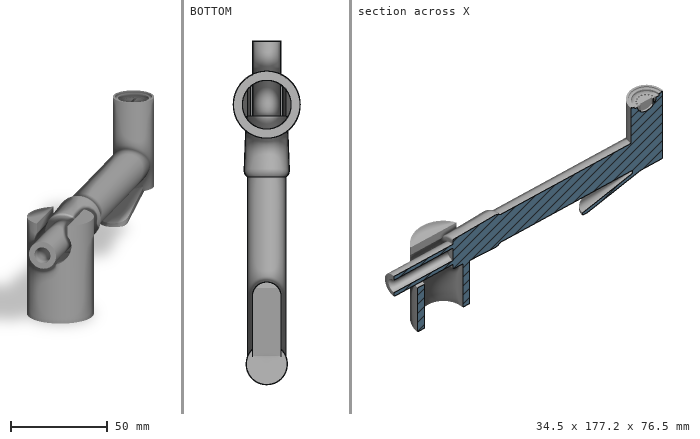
import cadquery as cq
import math


BASE_DIAMETER = 34.5
BASE_RADIUS = BASE_DIAMETER / 2
BASE_HEIGHT = 52.5
SLOT_WIDTH = 16.5
CAVITY_RADIUS = 12.5

TOTAL_LENGTH = 177.2
ARM_HEIGHT = 41.5
TUBE_RADIUS = 7.3
BORE_RADIUS = 4.3
TUBE_START = -32.8
PIPE_DIAMETER = 20.0
PIPE_RADIUS = PIPE_DIAMETER / 2

COLLAR_START = 5.8
COLLAR_SHOULDER = 33.7
COLLAR_START_RADIUS = 10.6
COLLAR_MAX_RADIUS = 11.7
COLLAR_START_ROUND = 1.0
COLLAR_END_ROUND = 4.8
COLLAR_END = COLLAR_SHOULDER + COLLAR_END_ROUND

SPOUT_RADIUS = 10.6
SPOUT_BOTTOM = 28.4
SPOUT_TOP = 76.5
SPOUT_Y = TUBE_START + TOTAL_LENGTH - SPOUT_RADIUS

CORE_RADIUS = 9.5
STEP_DEPTH = 0.7
FLOOR_RADIUS = 8.0
FLOOR_DEPTH = 2.0

BOWL_RADIUS = 6.0
KEY_WIDTH = 1.6
KEY_LENGTH = 8.0
HOLE_COUNT = 18
HOLE_RADIUS = 0.5
HOLE_CIRCLE_RADIUS = 5.3

LEVER_RADIUS = 7.5
LEVER_HEIGHT = 2.8
LEVER_ANGLE = 15
LEVER_TIP_Y = 91.5
LEVER_TIP_Z = 20.9
LEVER_ROOT_Y = 131.1
LEVER_BOTTOM = 19.0
NOTCH_TOP = 31.9


def rod(radius, start, end):
    """Cylinder on the arm axis between two Y positions."""
    plane = cq.Plane(origin=(0, start, ARM_HEIGHT), xDir=(1, 0, 0), normal=(0, 1, 0))
    return cq.Workplane(plane).circle(radius).extrude(end - start)


def make_base():
    post = cq.Workplane("XY").circle(BASE_RADIUS).extrude(BASE_HEIGHT)
    slot = (
        cq.Workplane("XY", origin=(0, 0, ARM_HEIGHT))
        .rect(SLOT_WIDTH, 2 * BASE_RADIUS)
        .extrude(BASE_HEIGHT - ARM_HEIGHT)
    )
    arm_hole = rod(PIPE_RADIUS, -BASE_RADIUS, COLLAR_START + COLLAR_START_ROUND)
    cavity = cq.Workplane("XY").circle(CAVITY_RADIUS).extrude(ARM_HEIGHT)
    return post.cut(slot).cut(arm_hole).cut(cavity)


def make_collar():
    """Revolved collar: radius along local X, position along local Y."""
    taper_start = COLLAR_START + COLLAR_START_ROUND
    arc_step = math.sqrt(0.5)
    start_arc_middle = (
        COLLAR_START_RADIUS - COLLAR_START_ROUND * (1 - arc_step),
        taper_start - COLLAR_START_ROUND * arc_step,
    )
    end_arc_middle = (
        COLLAR_MAX_RADIUS - COLLAR_END_ROUND * (1 - arc_step),
        COLLAR_SHOULDER + COLLAR_END_ROUND * arc_step,
    )
    return (
        cq.Workplane("XY", origin=(0, 0, ARM_HEIGHT))
        .moveTo(0, COLLAR_START)
        .lineTo(COLLAR_START_RADIUS - COLLAR_START_ROUND, COLLAR_START)
        .threePointArc(start_arc_middle, (COLLAR_START_RADIUS, taper_start))
        .lineTo(COLLAR_MAX_RADIUS, COLLAR_SHOULDER)
        .threePointArc(end_arc_middle, (COLLAR_MAX_RADIUS - COLLAR_END_ROUND, COLLAR_END))
        .lineTo(0, COLLAR_END)
        .close()
        .revolve(360, (0, 0), (0, 1))
    )


def make_arm():
    tube = rod(TUBE_RADIUS, TUBE_START, COLLAR_START)
    bore = rod(BORE_RADIUS, TUBE_START, COLLAR_START)
    pipe = rod(PIPE_RADIUS, COLLAR_SHOULDER, SPOUT_Y)
    return make_collar().union(tube.cut(bore)).union(pipe)


def make_floor_openings(floor_height):
    """Central key slot and ring of holes, both limited by the bowl."""
    plane = cq.Workplane("XY", origin=(0, SPOUT_Y, floor_height))
    key = plane.rect(KEY_WIDTH, KEY_LENGTH).extrude(-BOWL_RADIUS)
    first_angle = 360 / HOLE_COUNT / 2
    holes = (
        plane.polarArray(HOLE_CIRCLE_RADIUS, first_angle, 360, HOLE_COUNT)
        .circle(HOLE_RADIUS)
        .extrude(-BOWL_RADIUS)
    )
    bowl = plane.sphere(BOWL_RADIUS)
    return key.union(holes).intersect(bowl)


def make_spout():
    body = (
        cq.Workplane("XY", origin=(0, SPOUT_Y, SPOUT_BOTTOM))
        .circle(SPOUT_RADIUS)
        .extrude(SPOUT_TOP - SPOUT_BOTTOM)
    )
    top = cq.Workplane("XY", origin=(0, SPOUT_Y, SPOUT_TOP))
    step = top.circle(CORE_RADIUS).extrude(-STEP_DEPTH)
    well = top.circle(FLOOR_RADIUS).extrude(-FLOOR_DEPTH)
    openings = make_floor_openings(SPOUT_TOP - FLOOR_DEPTH)
    return body.cut(step).cut(well).cut(openings)


def make_lever_notch():
    """Notch through the spout wall only, leaving the core behind it."""
    height = NOTCH_TOP - SPOUT_BOTTOM
    plane = cq.Workplane("XY", origin=(0, SPOUT_Y, SPOUT_BOTTOM))
    block = plane.center(0, -SPOUT_RADIUS / 2).rect(2 * LEVER_RADIUS, SPOUT_RADIUS).extrude(height)
    core = plane.circle(CORE_RADIUS).extrude(height)
    return block.cut(core)


def make_lever():
    """Upright round-tipped outline, limited to a sloping blade with a level underside at the tip."""
    slope = math.tan(math.radians(LEVER_ANGLE))
    tip_centre_y = LEVER_TIP_Y + LEVER_RADIUS
    root_top = LEVER_TIP_Z + (LEVER_ROOT_Y - LEVER_TIP_Y) * slope
    underside_bend_y = LEVER_TIP_Y + (LEVER_BOTTOM + LEVER_HEIGHT - LEVER_TIP_Z) / slope
    blade = (
        cq.Workplane("YZ")
        .moveTo(LEVER_TIP_Y, LEVER_TIP_Z)
        .lineTo(LEVER_TIP_Y, LEVER_BOTTOM)
        .lineTo(underside_bend_y, LEVER_BOTTOM)
        .lineTo(LEVER_ROOT_Y, root_top - LEVER_HEIGHT)
        .lineTo(LEVER_ROOT_Y, root_top)
        .close()
        .extrude(LEVER_RADIUS, both=True)
    )
    outline = (
        cq.Workplane("XY")
        .moveTo(-LEVER_RADIUS, LEVER_ROOT_Y)
        .lineTo(-LEVER_RADIUS, tip_centre_y)
        .threePointArc((0, LEVER_TIP_Y), (LEVER_RADIUS, tip_centre_y))
        .lineTo(LEVER_RADIUS, LEVER_ROOT_Y)
        .close()
        .extrude(root_top)
    )
    return blade.intersect(outline)


spout = make_spout().cut(make_lever_notch())
result = spout.union(make_arm()).union(make_lever()).union(make_base())